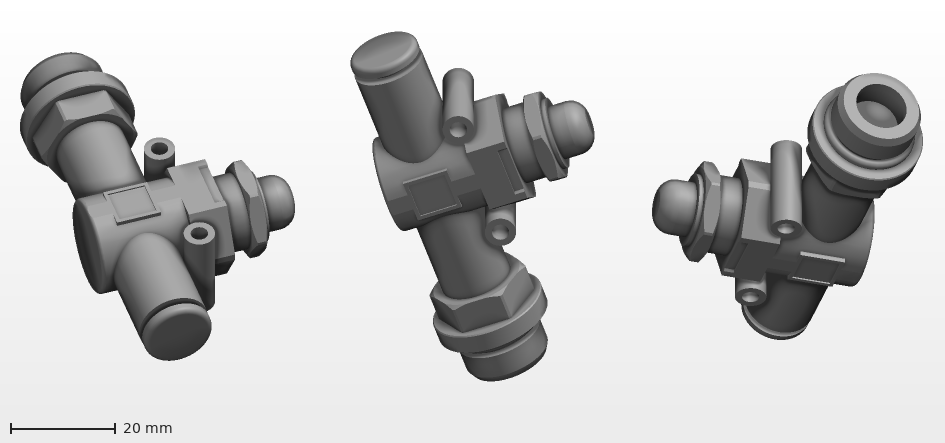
import cadquery as cq
import math


tube_dia = 13.8
tube_start_x = -25.05
tube_end_x = 25.0
barrel_dia = 18.8
barrel_end_y = -9.0
barrel_end_fillet = 0.7
flat_strip_width = 3.3
flat_z = math.sqrt((barrel_dia / 2) ** 2 - (flat_strip_width / 2) ** 2)

block_start_y = 9.25
block_end_y = 16.9
block_width = 23.0
block_flat_width = 13.15
block_slope = math.radians(60)

slot_length = 10.2
slot_width = 1.95
slot_depth = 0.4

pad_size_x = 8.5
pad_size_y = 8.9
pad_border = 0.7
pad_recess_depth = 0.3

ear_dia = 6.0
ear_hole_dia = 3.3
ear_x = 12.0
ear_y = 9.5

hex_flats = 17.05
hex_corner_dia = 19.35
stud_hex_chamfer_dia = 17.5
nut_chamfer_dia = 16.9
hex_chamfer_angle = math.radians(30)

stud_end_x = -43.8
thread_dia = 16.6
thread_end_dia = 15.0
thread_end_chamfer = 1.45
thread_end_x = -37.8
thread_runout = 0.4
stud_neck_dia = 14.6
flange_dia = 22.0
flange_start_x = -34.9
flange_end_x = -30.9
flange_chamfer = 0.2
ring_dia = 18.1
ring_thickness = 1.9
ring_sink = 0.15
ring_center_x = flange_start_x - ring_thickness / 2 + ring_sink
stud_bore_dia = 10.0
stud_bore_depth = 6.0

collet_neck_dia = 9.2
collet_dia = 13.65
collet_head_x = 26.4
collet_end_x = 28.4
collet_fillet = 1.0

bonnet_dia = 15.0
nut_start_y = 21.4
nut_end_y = 24.5
collar_dia = 14.0
collar_end_y = 25.35
knob_dia = 10.6
knob_straight_end_y = 28.6
knob_end_y = 31.9
knob_tip_dia = 5.5


def cylinder_x(diameter, start, end):
    return cq.Workplane("YZ", origin=(start, 0, 0)).circle(diameter / 2).extrude(end - start)


def cylinder_y(diameter, start, end):
    return cq.Workplane("XZ", origin=(0, start, 0)).circle(diameter / 2).extrude(start - end)


def turned_x(profile):
    """Solid of revolution about X from (x, radius) corners; the profile closes along the axis."""
    corners = [(profile[0][0], 0), *profile, (profile[-1][0], 0)]
    return cq.Workplane("XY").polyline(corners).close().revolve(360, (0, 0), (1, 0))


def turned_y(profile):
    """Solid of revolution about Y from (y, radius) corners; the profile closes along the axis."""
    corners = [(0, profile[0][0]), *[(radius, y) for y, radius in profile], (0, profile[-1][0])]
    return cq.Workplane("XY").polyline(corners).close().revolve(360, (0, 0), (0, 1))


def hexagon(plane, length):
    """Hexagonal prism with two flats facing +Z and -Z."""
    return cq.Workplane(plane).polygon(6, hex_flats / math.cos(math.pi / 6)).extrude(length)


def hex_chamfer_length(end_dia):
    """Axial length of the conical chamfer that narrows a hexagon's corners to end_dia."""
    return (hex_corner_dia - end_dia) / 2 * math.tan(hex_chamfer_angle)


def make_block():
    """Eight-sided block behind the barrel, with a shallow slot at the rear edge of both flats."""
    slope_rise = (block_width - block_flat_width) / 2 * math.tan(block_slope)
    side_z = flat_z - slope_rise
    outline = [
        (block_width / 2, side_z),
        (block_flat_width / 2, flat_z),
        (-block_flat_width / 2, flat_z),
        (-block_width / 2, side_z),
        (-block_width / 2, -side_z),
        (-block_flat_width / 2, -flat_z),
        (block_flat_width / 2, -flat_z),
        (block_width / 2, -side_z),
    ]
    length = block_end_y - block_start_y
    block = cq.Workplane("XZ", origin=(0, block_start_y, 0)).polyline(outline).close().extrude(-length)

    floor_z = flat_z - slot_depth
    slot_outline = [
        (-slot_length / 2 + slot_depth, floor_z),
        (slot_length / 2 - slot_depth, floor_z),
        (slot_length / 2, flat_z),
        (-slot_length / 2, flat_z),
    ]
    slot_start_y = block_end_y - slot_width
    slot = cq.Workplane("XZ", origin=(0, slot_start_y, 0)).polyline(slot_outline).close().extrude(-slot_width)
    return block.cut(slot).cut(slot.mirror("XY"))


def make_pads():
    """Pads on both sides of the barrel, level with its flats, and the shallow recesses to cut in them."""
    pads = cq.Workplane("XY").box(pad_size_x, pad_size_y, 2 * flat_z)
    recess = (
        cq.Workplane("XY", origin=(0, 0, flat_z - pad_recess_depth))
        .rect(pad_size_x - 2 * pad_border, pad_size_y - 2 * pad_border)
        .extrude(pad_recess_depth)
    )
    return pads, recess.union(recess.mirror("XY"))


def make_housing():
    tube = cylinder_x(tube_dia, tube_start_x, tube_end_x)
    barrel = cylinder_y(barrel_dia, barrel_end_y, block_start_y).faces("<Y").edges().fillet(barrel_end_fillet)
    barrel = barrel.intersect(cq.Workplane("XY").box(2 * barrel_dia, 2 * barrel_dia, 2 * flat_z))
    pads, pad_recesses = make_pads()
    ear_centers = [(-ear_x, ear_y), (ear_x, ear_y)]
    ear_base = cq.Workplane("XY", origin=(0, 0, -flat_z)).pushPoints(ear_centers)
    ears = ear_base.circle(ear_dia / 2).extrude(2 * flat_z)
    ear_holes = ear_base.circle(ear_hole_dia / 2).extrude(2 * flat_z)
    housing = tube.union(barrel).union(make_block()).union(pads).union(ears)
    return housing.cut(pad_recesses).cut(ear_holes)


def make_stud():
    """Threaded end with seal ring, flange and hexagon; a blind bore enters from the -X end."""
    body = turned_x([
        (stud_end_x, thread_end_dia / 2),
        (stud_end_x + thread_end_chamfer, thread_dia / 2),
        (thread_end_x, thread_dia / 2),
        (thread_end_x + thread_runout, stud_neck_dia / 2),
        (flange_start_x, stud_neck_dia / 2),
        (flange_start_x, flange_dia / 2 - flange_chamfer),
        (flange_start_x + flange_chamfer, flange_dia / 2),
        (flange_end_x - flange_chamfer, flange_dia / 2),
        (flange_end_x, flange_dia / 2 - flange_chamfer),
    ])
    ring_radius = (ring_dia - ring_thickness) / 2
    ring = (
        cq.Workplane("XY", origin=(ring_center_x, ring_radius, 0))
        .circle(ring_thickness / 2)
        .revolve(360, (0, -ring_radius), (1, -ring_radius))
    )
    hex_envelope = turned_x([
        (flange_end_x, hex_corner_dia / 2),
        (tube_start_x - hex_chamfer_length(stud_hex_chamfer_dia), hex_corner_dia / 2),
        (tube_start_x, stud_hex_chamfer_dia / 2),
    ])
    hex_part = hexagon("YZ", tube_start_x - flange_end_x).translate((flange_end_x, 0, 0))
    bore = cylinder_x(stud_bore_dia, stud_end_x, stud_end_x + stud_bore_depth)
    return body.union(ring).union(hex_part.intersect(hex_envelope)).cut(bore)


def make_collet():
    neck = cylinder_x(collet_neck_dia, tube_end_x, collet_head_x)
    head = cylinder_x(collet_dia, collet_head_x, collet_end_x).faces(">X").edges().fillet(collet_fillet)
    return neck.union(head)


def make_valve():
    """Bonnet, chamfered nut, collar and domed knob on the branch axis."""
    bonnet = cylinder_y(bonnet_dia, block_end_y, nut_start_y)
    chamfer = hex_chamfer_length(nut_chamfer_dia)
    nut_envelope = turned_y([
        (nut_start_y, nut_chamfer_dia / 2),
        (nut_start_y + chamfer, hex_corner_dia / 2),
        (nut_end_y - chamfer, hex_corner_dia / 2),
        (nut_end_y, nut_chamfer_dia / 2),
    ])
    nut = hexagon("XZ", nut_start_y - nut_end_y).translate((0, nut_start_y, 0)).intersect(nut_envelope)
    collar = cylinder_y(collar_dia, nut_end_y, collar_end_y)

    knob_radius = knob_dia / 2
    tip_radius = knob_tip_dia / 2
    dome_height = knob_end_y - knob_straight_end_y
    dome_reach = knob_radius - tip_radius
    dome_radius = (dome_reach ** 2 + dome_height ** 2) / (2 * dome_reach)
    half_angle = math.asin(dome_height / dome_radius) / 2
    dome_middle = (
        knob_radius - dome_radius * (1 - math.cos(half_angle)),
        knob_straight_end_y + dome_radius * math.sin(half_angle),
    )
    knob = (
        cq.Workplane("XY")
        .moveTo(0, collar_end_y)
        .lineTo(knob_radius, collar_end_y)
        .lineTo(knob_radius, knob_straight_end_y)
        .threePointArc(dome_middle, (tip_radius, knob_end_y))
        .lineTo(0, knob_end_y)
        .close()
        .revolve(360, (0, 0), (0, 1))
    )
    return bonnet.union(nut).union(collar).union(knob)


housing = make_housing()
stud = make_stud()
collet = make_collet()
valve = make_valve()

result = cq.Compound.makeCompound([housing.val(), stud.val(), collet.val(), valve.val()])